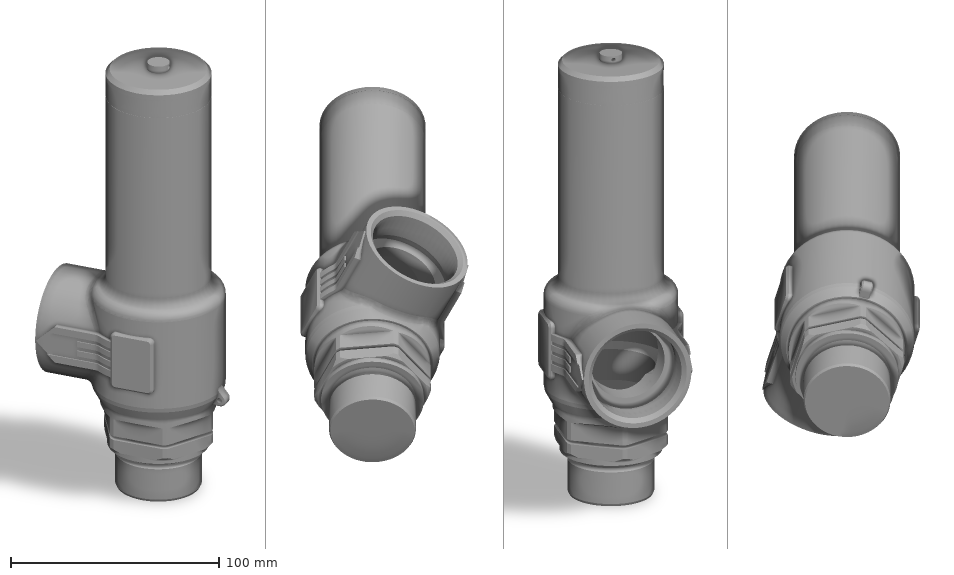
import cadquery as cq
import math

TOTAL_HEIGHT = 224.8
THREAD_TOP = 17.5
COLLAR_BOTTOM = 22.3
LOWER_HEX_BOTTOM = 25.2
LOWER_HEX_TOP = 31.7
UPPER_HEX_BOTTOM = 33.7
UPPER_HEX_TOP = 42.7
SKIRT_BOTTOM = 48.0
SKIRT_TOP = 53.0
BARREL_BOTTOM = 55.3
SHOULDER_BOTTOM = 101.4
SHOULDER_TOP = 110.8
BONNET_TOP = 209.0
CAP_TOP = 221.2

THREAD_RADIUS = 21.0
THREAD_CHAMFER = 1.3
RELIEF_RADIUS = 19.0
RELIEF_BOTTOM = 19.0
RELIEF_TOP = 21.0
COLLAR_RADIUS = 24.7
NECK_RADIUS = 23.0
HEX_FLATS = 50.0
HEX_CORNER_RADIUS = 28.0
HEX_CHAMFER = 1.5

FLAT_RUNOUT_ANGLE = 65.0
SKIRT_INNER_RADIUS = 29.2
SKIRT_OUTER_RADIUS = 32.0
BARREL_RADIUS = 32.4
CAVITY_RADIUS = 27.5
CAVITY_FLOOR = 49.5
SEAT_RADIUS = 21.4
SEAT_BOTTOM = 65.2
SEAT_TOP = 67.2

OUTLET_RADIUS = 53.3 / 2
OUTLET_LENGTH = 53.0
OUTLET_Z = 78.2
OUTLET_BLEND = 4.0
MOUTH_RADIUS = 24.3
MOUTH_CHAMFER = 2.0
BORE_DEPTH = 15.5
RELIEF_GROOVE_LENGTH = 4.0
RELIEF_GROOVE_RADIUS = 23.8
PASSAGE_RADIUS = 18.2

PLATE_WIDTH = 22.3
PLATE_HEIGHT = 29.7
PLATE_FACE = 33.5
PLATE_ROOT = 24.7
PLATE_CORNER = 2.7
PLATE_CHAMFER = 1.1
STRAP_HEIGHT = 18.9
STRAP_FACE = 27.5
STRAP_WRAP_RADIUS = 33.7
STRAP_ROOT = 23.5
STRAP_BEND_RADIUS = 4.5
STRAP_TIP_X = -52.4
STRAP_SHOULDER_X = -42.3
STRAP_END_X = -PLATE_WIDTH / 2
RIB_RAISE = 0.7
EDGE_RIB_HEIGHT = 3.5
MIDDLE_RIB_HEIGHT = 3.0
MIDDLE_RIB_START_X = -30.5
MIDDLE_RIB_OFFSETS = (2.5, -2.5)

EYELET_X = 33.0
EYELET_Z = 51.7
EYELET_RADIUS = 3.4
EYELET_HOLE_RADIUS = 1.24
EYELET_THICKNESS = 5.5
EYELET_CHAMFER = 0.7
EYELET_ROOT_X = 28.0
EYELET_PEAK_X = 32.1
EYELET_PEAK_Z = 58.0

BONNET_RADIUS = 51.0 / 2
JOINT_BAND_BOTTOM = 207.0
BAND_INSET = 0.11
CAP_BAND_TOP = 216.7
CAP_CHAMFER = 2.0
STUD_RADIUS = 5.5
STUD_HOLE_RADIUS = 1.01
STUD_HOLE_Z = 223.0


def disc(radius, bottom, top):
    """Upright cylinder on the valve axis."""
    return cq.Workplane("XY").workplane(offset=bottom).circle(radius).extrude(top - bottom)


def outlet_disc(radius, start_x, end_x):
    """Cylinder on the outlet axis between two X positions."""
    plane = cq.Workplane("YZ", origin=(start_x, 0, OUTLET_Z))
    return plane.circle(radius).extrude(end_x - start_x)


def hexagon(bottom):
    """Hexagon sketch with flats facing -Y and +Y."""
    across_corners = HEX_FLATS / math.cos(math.pi / 6)
    return cq.Workplane("XY").workplane(offset=bottom).polygon(6, across_corners)


def side_prism(outline, root, face):
    """Extrude an XZ outline toward -Y, from y = -root to y = -face."""
    plane = cq.Workplane("XZ", origin=(0, -root, OUTLET_Z))
    return plane.polyline(outline).close().extrude(face - root)


def build_inlet():
    stem = (
        cq.Workplane("XZ")
        .polyline([
            (0, 0),
            (THREAD_RADIUS - THREAD_CHAMFER / 2, 0),
            (THREAD_RADIUS, THREAD_CHAMFER),
            (THREAD_RADIUS, THREAD_TOP),
            (RELIEF_RADIUS, RELIEF_BOTTOM),
            (RELIEF_RADIUS, RELIEF_TOP),
            (THREAD_RADIUS, COLLAR_BOTTOM),
            (COLLAR_RADIUS, COLLAR_BOTTOM),
            (COLLAR_RADIUS, LOWER_HEX_BOTTOM),
            (NECK_RADIUS, LOWER_HEX_BOTTOM),
            (NECK_RADIUS, UPPER_HEX_BOTTOM),
            (0, UPPER_HEX_BOTTOM),
        ])
        .close()
        .revolve(360, (0, 0), (0, 1))
    )
    nut_blank = disc(HEX_CORNER_RADIUS, LOWER_HEX_BOTTOM, LOWER_HEX_TOP)
    nut_blank = nut_blank.faces("<Z").chamfer(HEX_CHAMFER)
    nut = nut_blank.intersect(hexagon(LOWER_HEX_BOTTOM).extrude(LOWER_HEX_TOP - LOWER_HEX_BOTTOM))
    return stem.union(nut)


def build_hex_base():
    """Round base with six wrench flats that run out upward on sloping faces."""
    blank = disc(HEX_CORNER_RADIUS, UPPER_HEX_BOTTOM, SKIRT_BOTTOM)
    flats = hexagon(UPPER_HEX_BOTTOM).extrude(UPPER_HEX_TOP - UPPER_HEX_BOTTOM)
    runout = hexagon(UPPER_HEX_TOP).extrude(SKIRT_BOTTOM - UPPER_HEX_TOP, taper=-FLAT_RUNOUT_ANGLE)
    return blank.intersect(flats.union(runout))


def build_barrel():
    """Turned barrel with a conical skirt below and an S-curved shoulder above."""
    run = (BARREL_RADIUS - BONNET_RADIUS) / 2
    rise = (SHOULDER_TOP - SHOULDER_BOTTOM) / 2
    middle = (BARREL_RADIUS - run, SHOULDER_BOTTOM + rise)
    arc_radius = (run**2 + rise**2) / (2 * run)
    half_angle = math.asin(rise / arc_radius) / 2
    bulge = arc_radius * (1 - math.cos(half_angle))
    lift = arc_radius * math.sin(half_angle)
    return (
        cq.Workplane("XZ")
        .moveTo(0, SKIRT_BOTTOM)
        .lineTo(SKIRT_INNER_RADIUS, SKIRT_BOTTOM)
        .lineTo(SKIRT_OUTER_RADIUS, SKIRT_TOP)
        .lineTo(BARREL_RADIUS, BARREL_BOTTOM)
        .lineTo(BARREL_RADIUS, SHOULDER_BOTTOM)
        .threePointArc((BARREL_RADIUS - bulge, SHOULDER_BOTTOM + lift), middle)
        .threePointArc((BONNET_RADIUS + bulge, SHOULDER_TOP - lift), (BONNET_RADIUS, SHOULDER_TOP))
        .lineTo(0, SHOULDER_TOP)
        .close()
        .revolve(360, (0, 0), (0, 1))
    )


def build_shell():
    """Barrel with the outlet pipe blended into it."""
    shell = build_barrel().union(outlet_disc(OUTLET_RADIUS, -OUTLET_LENGTH, 0))
    around_joint = cq.selectors.BoxSelector(
        (-BARREL_RADIUS, -OUTLET_RADIUS, OUTLET_Z - OUTLET_RADIUS),
        (-BARREL_RADIUS / 2, OUTLET_RADIUS, OUTLET_Z + OUTLET_RADIUS),
    )
    return shell.edges(around_joint).fillet(OUTLET_BLEND)


def wrapped(offset):
    """Solid bounded by the strap surface: flat along the outlet, then wrapped around the barrel."""
    half = STRAP_HEIGHT / 2
    depth = STRAP_FACE + offset
    flat = cq.Workplane("XY").box(STRAP_END_X - STRAP_TIP_X, depth - STRAP_ROOT, STRAP_HEIGHT, centered=False)
    flat = flat.translate((STRAP_TIP_X, -depth, OUTLET_Z - half))
    wrap = disc(STRAP_WRAP_RADIUS + offset, OUTLET_Z - half, OUTLET_Z + half)
    size = STRAP_WRAP_RADIUS
    wrap_limit = cq.Workplane("XY").box(size, size, STRAP_HEIGHT, centered=False)
    wrap_limit = wrap_limit.translate((STRAP_END_X - size, -STRAP_ROOT - size, OUTLET_Z - half))
    strap = flat.union(wrap.intersect(wrap_limit))
    bend_x = -math.sqrt((STRAP_WRAP_RADIUS + offset)**2 - depth**2)
    bend = cq.selectors.NearestToPointSelector((bend_x, -depth, OUTLET_Z))
    return strap.edges(bend).fillet(STRAP_BEND_RADIUS)


def build_strap():
    """Arrow-shaped strap that points to the outlet mouth, with four raised ribs."""
    half = STRAP_HEIGHT / 2
    reach = STRAP_WRAP_RADIUS + RIB_RAISE
    outline = [
        (STRAP_TIP_X, 0),
        (STRAP_SHOULDER_X, half),
        (STRAP_END_X, half),
        (STRAP_END_X, -half),
        (STRAP_SHOULDER_X, -half),
    ]
    arrow = side_prism(outline, STRAP_ROOT, reach)
    bands = [(STRAP_TIP_X, side * (half - EDGE_RIB_HEIGHT / 2), EDGE_RIB_HEIGHT) for side in (-1, 1)]
    bands += [(MIDDLE_RIB_START_X, z, MIDDLE_RIB_HEIGHT) for z in MIDDLE_RIB_OFFSETS]
    strap = wrapped(0).intersect(arrow)
    raised = wrapped(RIB_RAISE).intersect(arrow)
    for start_x, z, height in bands:
        low = z - height / 2
        high = z + height / 2
        band_outline = [(start_x, low), (STRAP_END_X, low), (STRAP_END_X, high), (start_x, high)]
        band = side_prism(band_outline, STRAP_ROOT, reach)
        strap = strap.union(raised.intersect(band))
    return strap


def build_plate():
    return (
        cq.Workplane("XZ", origin=(0, -PLATE_ROOT, OUTLET_Z))
        .rect(PLATE_WIDTH, PLATE_HEIGHT)
        .extrude(PLATE_FACE - PLATE_ROOT)
        .edges("|Y")
        .fillet(PLATE_CORNER)
        .faces("<Y")
        .chamfer(PLATE_CHAMFER)
    )


def build_eyelet():
    """Drop-shaped lug: a round eye with a flat base and a tangent line up to the barrel."""
    distance = math.hypot(EYELET_PEAK_X - EYELET_X, EYELET_PEAK_Z - EYELET_Z)
    peak_angle = math.atan2(EYELET_PEAK_Z - EYELET_Z, EYELET_PEAK_X - EYELET_X)
    tangent_angle = peak_angle - math.acos(EYELET_RADIUS / distance)

    def on_eye(angle):
        return (EYELET_X + EYELET_RADIUS * math.cos(angle), EYELET_Z + EYELET_RADIUS * math.sin(angle))

    lug = (
        cq.Workplane("XZ")
        .moveTo(EYELET_ROOT_X, EYELET_Z - EYELET_RADIUS)
        .lineTo(EYELET_X, EYELET_Z - EYELET_RADIUS)
        .threePointArc(on_eye(0), on_eye(tangent_angle))
        .lineTo(EYELET_PEAK_X, EYELET_PEAK_Z)
        .lineTo(EYELET_ROOT_X, EYELET_PEAK_Z)
        .close()
        .extrude(EYELET_THICKNESS / 2, both=True)
    )
    return lug.faces("|Y").chamfer(EYELET_CHAMFER)


def build_eyelet_hole():
    plane = cq.Workplane("XZ", origin=(EYELET_X, 0, EYELET_Z))
    return plane.circle(EYELET_HOLE_RADIUS).extrude(EYELET_THICKNESS, both=True)


def build_cavity():
    """Inner chamber, narrower below a small conical seat."""
    return (
        cq.Workplane("XZ")
        .polyline([
            (0, CAVITY_FLOOR),
            (SEAT_RADIUS, CAVITY_FLOOR),
            (SEAT_RADIUS, SEAT_BOTTOM),
            (CAVITY_RADIUS, SEAT_TOP),
            (CAVITY_RADIUS, SHOULDER_BOTTOM),
            (0, SHOULDER_BOTTOM),
        ])
        .close()
        .revolve(360, (0, 0), (0, 1))
    )


def build_outlet_bore():
    """Mouth with a chamfered rim and a relief groove, then the passage to the chamber."""
    mouth_x = -OUTLET_LENGTH
    bore_radius = MOUTH_RADIUS - MOUTH_CHAMFER
    bore_end = mouth_x + BORE_DEPTH
    mouth = cq.Workplane("YZ", origin=(mouth_x, 0, OUTLET_Z)).circle(MOUTH_RADIUS)
    chamfer = mouth.extrude(MOUTH_CHAMFER, taper=45)
    bore = outlet_disc(bore_radius, mouth_x, bore_end)
    groove = outlet_disc(RELIEF_GROOVE_RADIUS, bore_end, bore_end + RELIEF_GROOVE_LENGTH)
    passage = outlet_disc(PASSAGE_RADIUS, mouth_x, 0)
    return chamfer.union(bore).union(groove).union(passage)


def build_housing():
    housing = build_shell().union(build_hex_base())
    housing = housing.union(build_eyelet())
    side_details = build_plate().union(build_strap())
    housing = housing.union(side_details).union(side_details.mirror("XZ"))
    return housing.cut(build_cavity()).cut(build_outlet_bore()).cut(build_eyelet_hole())


def build_bonnet():
    tube = disc(BONNET_RADIUS, SHOULDER_TOP, JOINT_BAND_BOTTOM)
    return tube.union(disc(BONNET_RADIUS - BAND_INSET, JOINT_BAND_BOTTOM, BONNET_TOP))


def build_cap():
    band = disc(BONNET_RADIUS - BAND_INSET, BONNET_TOP, CAP_BAND_TOP)
    lid = disc(BONNET_RADIUS, CAP_BAND_TOP, CAP_TOP).faces(">Z").chamfer(CAP_CHAMFER)
    stud = disc(STUD_RADIUS, CAP_TOP, TOTAL_HEIGHT)
    wire_hole = cq.Workplane("YZ", origin=(0, 0, STUD_HOLE_Z)).circle(STUD_HOLE_RADIUS)
    return band.union(lid).union(stud).cut(wire_hole.extrude(STUD_RADIUS, both=True))


inlet = build_inlet()
housing = build_housing()
bonnet = build_bonnet()
cap = build_cap()

result = cq.Compound.makeCompound([inlet.val(), housing.val(), bonnet.val(), cap.val()])